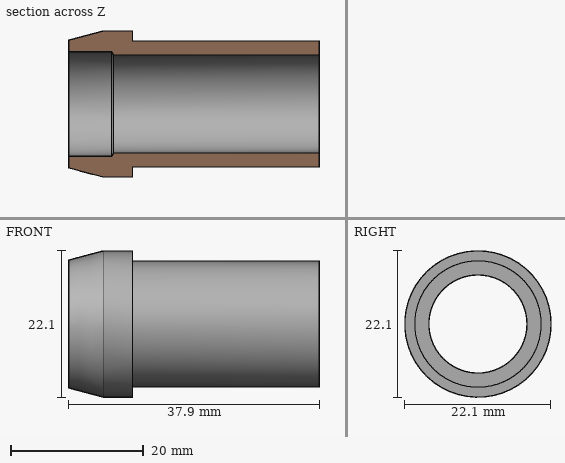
import cadquery as cq

length = 37.85
tube_diameter = 19.08
collar_diameter = 22.1
nose_diameter = 19.3
nose_length = 5.25
collar_end = 9.65
bore_diameter = 14.75
counterbore_diameter = 15.75
counterbore_depth = 6.5
step_length = 0.3

tube_radius = tube_diameter / 2
collar_radius = collar_diameter / 2
nose_radius = nose_diameter / 2
bore_radius = bore_diameter / 2
counterbore_radius = counterbore_diameter / 2

section = (
    cq.Workplane("XY")
    .moveTo(0, counterbore_radius)
    .lineTo(0, nose_radius)
    .lineTo(nose_length, collar_radius)
    .lineTo(collar_end, collar_radius)
    .lineTo(collar_end, tube_radius)
    .lineTo(length, tube_radius)
    .lineTo(length, bore_radius)
    .lineTo(counterbore_depth + step_length, bore_radius)
    .lineTo(counterbore_depth, counterbore_radius)
    .close()
)

result = section.revolve(360, (0, 0, 0), (1, 0, 0))